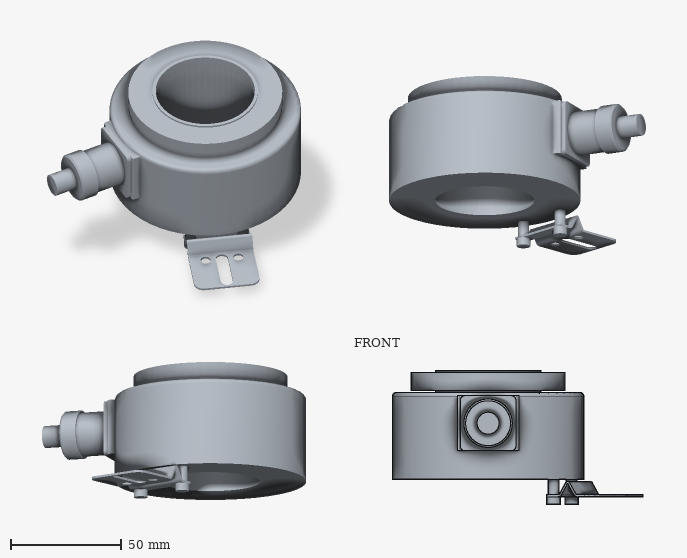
import cadquery as cq
import math

body_radius = 43.5
body_height = 39.5
body_top_fillet = 2.0
flange_radius = 35.0
flange_bottom = 40.2
flange_top = 48.5
hub_radius = 24.0
hub_top = 49.4
bore_radius = 22.5

outlet_z = 25.45
block_height = 25.0
block_width = 28.0
block_front = 45.0
block_edge_radius = 0.9
plate_width = 25.2
plate_front = 47.0
plate_corner_radius = 2.0
barrel_radius = 10.0
barrel_front = 61.0
cap_radius = 11.0
cap_front = 69.0
cap_chamfer = 0.8
cable_radius = 5.0
cable_front = 79.05

bracket_angle = -20.0
bracket_width = 30.0
bracket_inner = 33.6
bracket_outer = 70.8
bracket_corner_radius = 4.4
sheet_thickness = 1.0
sheet_top = -7.0
ridge_center = 43.9
ridge_top = -1.0
ridge_slope = 60.0
bend_radius = 1.15
hole_distance = 51.8
hole_pitch = 15.0
hole_diameter = 4.5
slot_width = 5.6
slot_travel = 15.2

screw_distance = 36.0
screw_pitch = 24.0
post_radius = 2.5
head_radius = 3.1
overall_height = 60.8
head_bottom = hub_top - overall_height


def cylinder_z(radius, bottom, top):
    return cq.Workplane("XY").workplane(offset=bottom).circle(radius).extrude(top - bottom)


def cylinder_outlet(radius, front):
    """Cylinder on the outlet axis, from the block front out to the given distance."""
    plane = cq.Workplane("XZ", origin=(0, -block_front, outlet_z))
    return plane.circle(radius).extrude(front - block_front)


def outlet_box(width, front):
    """Box on the outlet axis, from the body axis out to the given distance."""
    plane = cq.Workplane("XZ", origin=(0, 0, outlet_z))
    return plane.rect(width, block_height).extrude(front)


def make_body():
    housing = cylinder_z(body_radius, 0, body_height).faces(">Z").edges().fillet(body_top_fillet)
    hub = cylinder_z(hub_radius, 0, hub_top)
    flange = cylinder_z(flange_radius, flange_bottom, flange_top)
    return housing.union(hub).union(flange)


def make_outlet():
    block = outlet_box(block_width, block_front).faces("<Y").edges("|Z").fillet(block_edge_radius)
    plate = outlet_box(plate_width, plate_front).edges("|Y").fillet(plate_corner_radius)
    barrel = cylinder_outlet(barrel_radius, barrel_front)
    cap = cylinder_outlet(cap_radius, cap_front).faces("<Y").chamfer(cap_chamfer)
    cap = cap.cut(cylinder_outlet(cap_radius, barrel_front))
    cable = cylinder_outlet(cable_radius, cable_front)
    return block.union(plate).union(barrel).union(cap).union(cable)


def make_sheet():
    """Flat sheet with an inverted-V ridge pressed across it."""
    slope = math.radians(ridge_slope)
    sheet_bottom = sheet_top - sheet_thickness
    apex_top = ridge_top + bend_radius * (1 / math.cos(slope) - 1)
    apex_bottom = apex_top - sheet_thickness / math.cos(slope)
    foot_top = (apex_top - sheet_top) / math.tan(slope)
    foot_bottom = (apex_bottom - sheet_bottom) / math.tan(slope)

    outline = [
        (bracket_inner, sheet_top),
        (ridge_center - foot_top, sheet_top),
        (ridge_center, apex_top),
        (ridge_center + foot_top, sheet_top),
        (bracket_outer, sheet_top),
        (bracket_outer, sheet_bottom),
        (ridge_center + foot_bottom, sheet_bottom),
        (ridge_center, apex_bottom),
        (ridge_center - foot_bottom, sheet_bottom),
        (bracket_inner, sheet_bottom),
    ]
    sheet = cq.Workplane("XZ").polyline(outline).close().extrude(bracket_width / 2, both=True)

    inner_radius = bend_radius - sheet_thickness
    outer_radius = bend_radius + sheet_thickness
    upper_bends = [(corner, bend_radius) for corner in outline[1:4]]
    lower_radii = (outer_radius, inner_radius, outer_radius)
    lower_bends = list(zip(outline[6:9], lower_radii))
    for (x, z), radius in upper_bends + lower_bends:
        bend = cq.selectors.NearestToPointSelector((x, 0, z))
        sheet = sheet.edges("|Y").edges(bend).fillet(radius)
    return sheet.faces(">X").edges("|Z").fillet(bracket_corner_radius)


def make_bracket():
    cut_plane = cq.Workplane("XY").workplane(offset=sheet_top - sheet_thickness)
    holes = (
        cut_plane.pushPoints([(hole_distance, -hole_pitch / 2), (hole_distance, hole_pitch / 2)])
        .circle(hole_diameter / 2)
        .extrude(sheet_thickness)
    )
    slot = (
        cut_plane.center(hole_distance + slot_travel / 2, 0)
        .slot2D(slot_travel + slot_width, slot_width)
        .extrude(sheet_thickness)
    )
    bracket = make_sheet().cut(holes).cut(slot)

    for y in (-screw_pitch / 2, screw_pitch / 2):
        post = cylinder_z(post_radius, sheet_top, 0)
        head = cylinder_z(head_radius, head_bottom, sheet_top - sheet_thickness)
        bracket = bracket.union(post.union(head).translate((screw_distance, y, 0)))
    return bracket.rotate((0, 0, 0), (0, 0, 1), bracket_angle)


bore = cylinder_z(bore_radius, 0, hub_top)
result = make_body().union(make_outlet()).cut(bore).union(make_bracket())